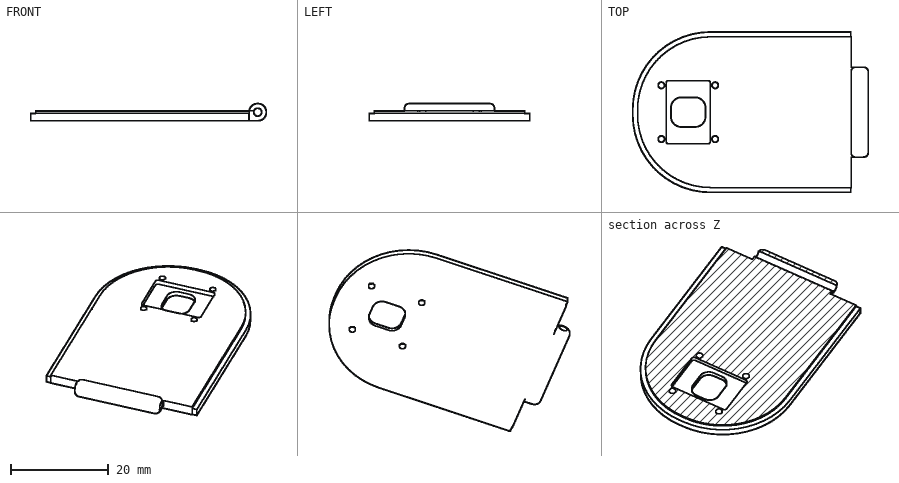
import cadquery as cq

total_length = 48.15
plate_width = 32.8
barrel_diameter = 3.55

plate_length = total_length - barrel_diameter
plate_thickness = 2.0
rim_height = 1.55
rim_inset = 1.0
end_overhang = 0.1
end_flat_width = 1.0
end_radius = (plate_width - end_flat_width) / 2

barrel_length = 18.45
barrel_rounding = 1.0
pin_diameter = 1.6
barrel_x = total_length - barrel_diameter / 2
barrel_z = barrel_diameter / 2

mount_x = 11.35
pocket_length = 9.0
pocket_width = 12.9
pocket_corner_radius = 0.5
pocket_floor = 1.0
window_length = 7.0
window_width = 5.95
window_corner_radius = 2.0
screw_spacing = 11.0
screw_diameter = 1.25


def plate_layer(inset, length_beyond, height):
    """Plate outline inset along the sides and round end, and lengthened at the hinge end."""
    half_width = plate_width / 2 - inset
    length = plate_length + length_beyond - inset
    return (
        cq.Workplane("XY")
        .center(inset + length / 2, 0)
        .rect(length, 2 * half_width)
        .extrude(height)
        .edges("|Z and <X")
        .fillet(end_radius - inset)
    )


def rounded_cutter(length, width, corner_radius, bottom):
    """Rounded rectangular cutter from a given height up to the plate top."""
    return (
        cq.Workplane("XY", origin=(mount_x, 0, bottom))
        .rect(length, width)
        .extrude(plate_thickness - bottom)
        .edges("|Z")
        .fillet(corner_radius)
    )


def hinge():
    """Barrel with rounded ends, and the web joining it to the plate."""
    barrel = (
        cq.Workplane("XZ", origin=(barrel_x, 0, barrel_z))
        .circle(barrel_diameter / 2)
        .extrude(barrel_length / 2, both=True)
        .edges("%CIRCLE")
        .fillet(barrel_rounding)
    )
    web_length = barrel_x - plate_length
    web = (
        cq.Workplane("XY", origin=(plate_length + web_length / 2, 0, 0))
        .rect(web_length, barrel_length)
        .extrude(plate_thickness)
        .edges("|X and <Z")
        .fillet(barrel_rounding)
    )
    return barrel.union(web)


plate = plate_layer(0, 0, rim_height).union(plate_layer(rim_inset, end_overhang, plate_thickness))

pin_hole = (
    cq.Workplane("XZ", origin=(barrel_x, 0, barrel_z))
    .circle(pin_diameter / 2)
    .extrude(barrel_length, both=True)
)

screw_holes = (
    cq.Workplane("XY", origin=(mount_x, 0, 0))
    .rect(screw_spacing, screw_spacing, forConstruction=True)
    .vertices()
    .circle(screw_diameter / 2)
    .extrude(plate_thickness)
)

result = (
    plate.union(hinge())
    .cut(pin_hole)
    .cut(rounded_cutter(pocket_length, pocket_width, pocket_corner_radius, pocket_floor))
    .cut(rounded_cutter(window_length, window_width, window_corner_radius, 0))
    .cut(screw_holes)
)